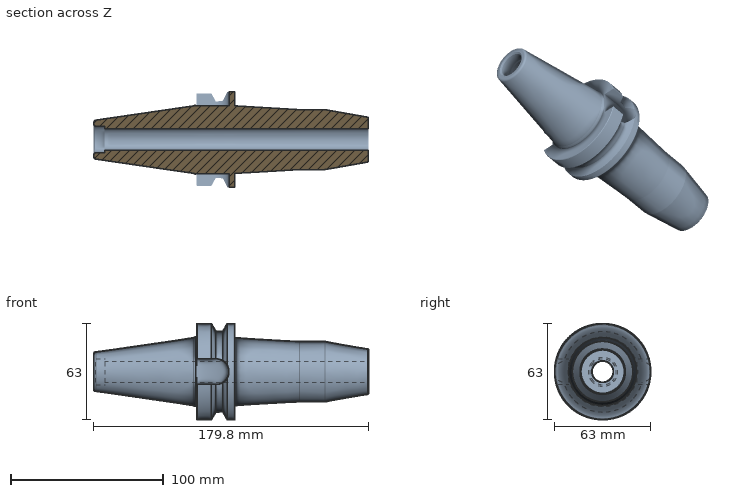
import cadquery as cq
import math

total_length = 179.8
flange_radius = 63.0 / 2

gauge_radius = 44.5 / 2
gauge_x = 65.0
taper_slope = 7 / 24 / 2
taper_end_radius = gauge_radius - taper_slope * gauge_x
taper_end_fillet = 1.5

collar_radius = 22.8
collar_flare_x = 66.7

flange_start = 67.2
flange_end = 92.5
flange_edge_chamfer = 0.4
groove_radius = 26.5
groove_floor_start = 79.8
groove_floor_end = 84.5
groove_side_length = (flange_radius - groove_radius) / math.tan(math.radians(60))
rim_edge_radius = 0.7

neck_end = 93.3
neck_radius = 44.5 / 2
body_radius = 39.5 / 2
body_start = 134.5
body_end = 151.2
nose_radius = 29.5 / 2
nose_chamfer = 0.5

through_diameter = 13.8
rear_bore_diameter = 17.0
rear_bore_depth = 7.2
bore_mouth_diameter = 19.0

slot_width = 16.7
slot_floor = 22.5
slot_end = 88.5


def revolved_body():
    """Solid of revolution covering the taper, flange, body and nose."""
    profile = (
        cq.Workplane("XY")
        .moveTo(0, 0)
        .lineTo(0, taper_end_radius)
        .lineTo(gauge_x, gauge_radius)
        .lineTo(collar_flare_x, collar_radius)
        .lineTo(flange_start, collar_radius)
        .lineTo(flange_start, flange_radius - flange_edge_chamfer)
        .lineTo(flange_start + flange_edge_chamfer, flange_radius)
        .lineTo(groove_floor_start - groove_side_length, flange_radius)
        .lineTo(groove_floor_start, groove_radius)
        .lineTo(groove_floor_end, groove_radius)
        .lineTo(groove_floor_end + groove_side_length, flange_radius)
        .lineTo(flange_end - rim_edge_radius, flange_radius)
        .radiusArc((flange_end, flange_radius - rim_edge_radius), rim_edge_radius)
        .lineTo(flange_end, neck_radius)
        .lineTo(neck_end, neck_radius)
        .lineTo(body_start, body_radius)
        .lineTo(body_end, body_radius)
        .lineTo(total_length, nose_radius)
        .lineTo(total_length, 0)
        .close()
    )
    body = profile.revolve(360, (0, 0, 0), (1, 0, 0))
    body = body.faces("<X").edges().fillet(taper_end_fillet)
    return body.faces(">X").edges().chamfer(nose_chamfer)


def bore():
    """Through hole with a wider rear bore and a 45 degree mouth chamfer."""
    mouth_radius = bore_mouth_diameter / 2
    rear_radius = rear_bore_diameter / 2
    through_radius = through_diameter / 2
    return (
        cq.Workplane("XY")
        .moveTo(0, 0)
        .lineTo(0, mouth_radius)
        .lineTo(mouth_radius - rear_radius, rear_radius)
        .lineTo(rear_bore_depth, rear_radius)
        .lineTo(rear_bore_depth, through_radius)
        .lineTo(total_length, through_radius)
        .lineTo(total_length, 0)
        .close()
        .revolve(360, (0, 0, 0), (1, 0, 0))
    )


def drive_slot(side):
    """Round-ended slot open to the rear; side is -1 or +1 along Y."""
    half_width = slot_width / 2
    arc_center_x = slot_end - half_width
    return (
        cq.Workplane("XZ", origin=(0, side * slot_floor, 0))
        .moveTo(collar_flare_x, -half_width)
        .lineTo(arc_center_x, -half_width)
        .radiusArc((slot_end, 0), -half_width)
        .radiusArc((arc_center_x, half_width), -half_width)
        .lineTo(collar_flare_x, half_width)
        .close()
        .extrude(-side * flange_radius)
    )


result = revolved_body().cut(bore())
for side in (-1, 1):
    result = result.cut(drive_slot(side))